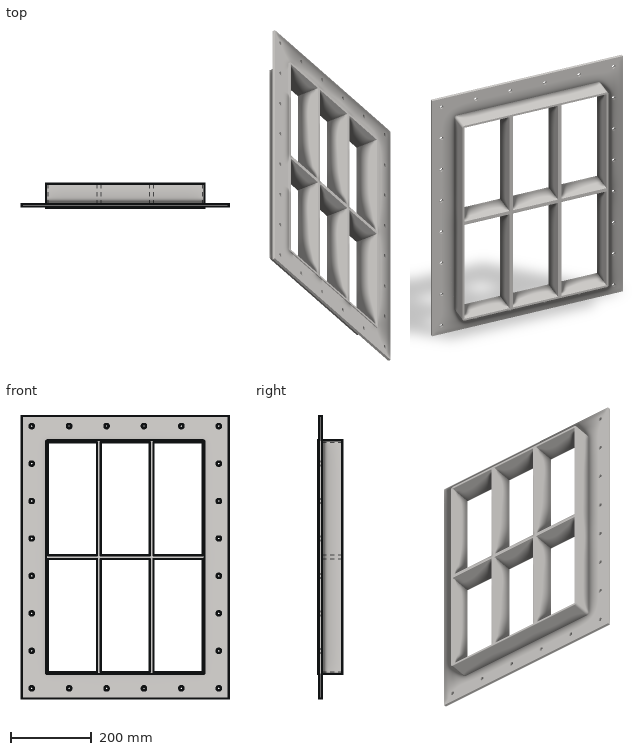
import cadquery as cq

flange_width = 514.0
flange_height = 700.0
flange_thickness = 7.0
flange_margin = 60.0

frame_depth = 60.0
frame_lip = 3.0
frame_wall = 5.5
frame_corner_radius = 6.0
frame_width = flange_width - 2 * flange_margin
frame_height = flange_height - 2 * flange_margin

columns = 3
rows = 2
bar_thickness = 10.0
opening_width = (frame_width - 2 * frame_wall - (columns - 1) * bar_thickness) / columns
opening_height = (frame_height - 2 * frame_wall - (rows - 1) * bar_thickness) / rows

hole_diameter = 10.0
hole_edge_distance = 25.0
holes_across = 6
holes_up = 8
hole_pitch_x = (flange_width - 2 * hole_edge_distance) / (holes_across - 1)
hole_pitch_z = (flange_height - 2 * hole_edge_distance) / (holes_up - 1)


def block(width, depth, height, front_y):
    """Box centred in X and Z, extending toward +Y from its front face."""
    return cq.Workplane("XY").box(width, depth, height).translate((0, front_y + depth / 2, 0))


def make_flange():
    return block(flange_width, flange_thickness, flange_height, frame_lip)


def make_frame():
    body = block(frame_width, frame_depth, frame_height, 0)
    return body.edges("|Y").fillet(frame_corner_radius)


def make_openings():
    return (
        cq.Workplane("XZ")
        .rarray(opening_width + bar_thickness, opening_height + bar_thickness, columns, rows)
        .rect(opening_width, opening_height)
        .extrude(-frame_depth)
    )


def make_bolt_holes():
    """Cylinders on the perimeter of an evenly spaced rectangular grid."""
    points = []
    for i in range(holes_across):
        for k in range(holes_up):
            if i in (0, holes_across - 1) or k in (0, holes_up - 1):
                x = -flange_width / 2 + hole_edge_distance + i * hole_pitch_x
                z = -flange_height / 2 + hole_edge_distance + k * hole_pitch_z
                points.append((x, z))
    return cq.Workplane("XZ").pushPoints(points).circle(hole_diameter / 2).extrude(-frame_depth)


result = make_flange().union(make_frame()).cut(make_openings()).cut(make_bolt_holes())